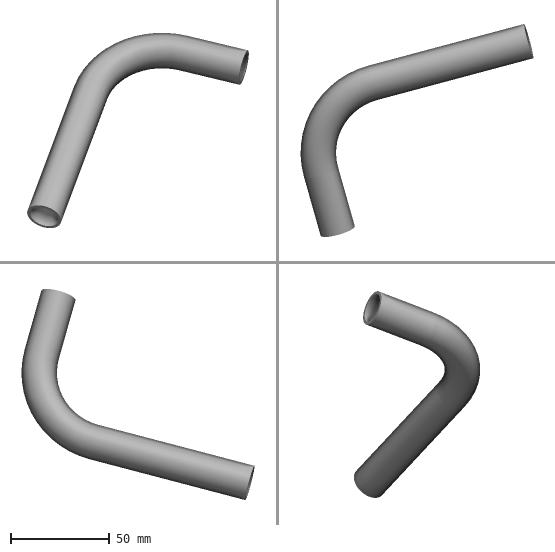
import cadquery as cq

outer_diameter = 18.0
inner_diameter = 15.0
overall_x = 79.0
overall_y = 129.0
bend_radius = 37.9

bend_outer_radius = bend_radius + outer_diameter / 2
short_leg = overall_x - bend_outer_radius
long_leg = overall_y - bend_outer_radius


def ring(plane, origin):
    """Annular tube cross-section centred at origin."""
    return (
        cq.Workplane(plane, origin=origin)
        .circle(outer_diameter / 2)
        .circle(inner_diameter / 2)
    )


bend_start = (0, long_leg, 0)
bend_end = (bend_radius, long_leg + bend_radius, 0)

long_tube = ring("XZ", (0, 0, 0)).extrude(-long_leg)

axis_start = (bend_radius, 0, 0)
axis_end = (bend_radius, -1, 0)
bend = ring("XZ", bend_start).revolve(90, axis_start, axis_end)

short_tube = ring("YZ", bend_end).extrude(short_leg)

result = long_tube.union(bend).union(short_tube)